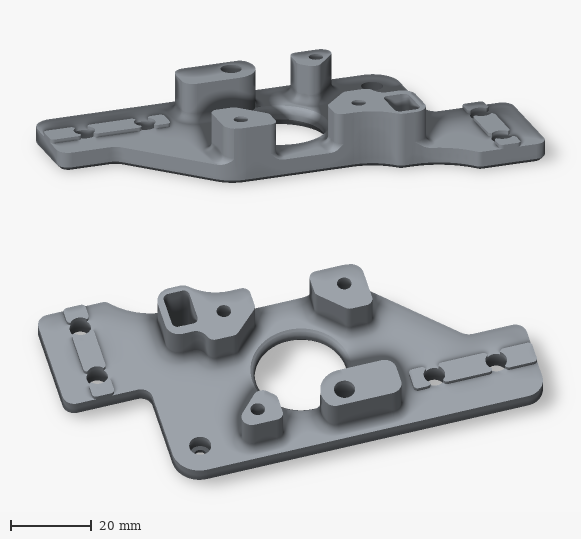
import cadquery as cq
import math


plate_thickness = 5.0
overall_height = 15.0
post_height = overall_height - plate_thickness
post_base_fillet = 2.0
ridge_height = 1.0
underside_chamfer = 1.0

plate_length = 116
plate_width = 56.0
left_edge = -23.0
bottom_edge = -57.0
right_edge = 21.0
foot_right_edge = -1.0
shoulder_edge = 37.6
arm_left_edge = 5.1
arm_right_edge = left_edge + plate_width
top_edge = bottom_edge + plate_length
slope_offset = 41.3

shoulder_radius = 7.0
foot_left_radius = 5.0
small_corner_radius = 3.0
foot_waist_radius = 4.0
body_corner_radius = 9.9
arm_lower_radius = 1.6

arm_lower_corner_y = 41.0
throat_edge = 25.9
throat_upper_y = 34.5
throat_upper_radius = 18.6
bulge_y = 22.7
bulge_radius = 3.0
throat_lower_y = bulge_y - (throat_edge - right_edge)
throat_lower_radius = 13.5
throat_corners = [
    (throat_edge, bulge_y, bulge_radius),
    (right_edge, throat_lower_y, throat_lower_radius),
]

bore_radius = 11.5
bore_mouth_radius = 12.5
bore_mouth_chamfer = 0.52
bore_lip_radius = 2.0
bore_foot_width = 1.2
bore_foot_height = 1.7

screw_offset = 15.49
screw_hole_diameter = 3.6
access_hole_diameter = 5.2
access_hole_y = -6.8

post_corner_radius = 2.0
post_left_edge = -19.8
post_outer_y = -21.0
inner_post_edge = 7.7
post_bevel_sum = 22.0
post_bevel_end = post_bevel_sum - inner_post_edge
corner_post_outer_radius = 3.6
long_post_end_radius = 6.0
long_post_shoulder_radius = 2.7
small_post_right_edge = -10.2
small_post_bottom = 9.7
small_post_bevel_x = -12.9
small_post_bevel_y = 12.4
small_post_right_top = 14.5
small_post_peak_y = 23.3
small_post_peak_radius = 2.5

window_left = 13.9
window_right = 24.2
window_bottom = 22.3
window_top = 28.9
window_corner_radius = 1.5
window_wall_left = 11.6
window_wall_top = 30.6
window_wall_left_radius = 3.5
window_wall_right_radius = 4.0
window_neck_low_y = 20.9
window_neck_high_y = 22.6
window_neck_radius = 3.0

bushing_diameter = 7.0
bushing_length = 2.0

counterbore_y = 30.3
counterbore_diameter = 5.5
counterbore_depth = 4.0
counterbore_pilot_diameter = 3.1

mount_hole_diameter = 5.3
ridge_gap = 3.2
ridge_corner_radius = 1.0
arm_ridge_width = 5.7
arm_ridge_y = 49.2
arm_hole_xs = (11.4, 26.8)
foot_ridge_width = 6.0
foot_ridge_x = -11.0
foot_ridge_end_y = -25.3
foot_hole_ys = (-47.1, -31.2)


def rounded_prism(corners, height, base=0):
    """Prism over a polygon whose corners are given as (x, y, rounding radius)."""
    arcs = []
    for i, (x, y, radius) in enumerate(corners):
        corner = cq.Vector(x, y)
        x_before, y_before, _ = corners[i - 1]
        x_after, y_after, _ = corners[(i + 1) % len(corners)]
        to_before = (cq.Vector(x_before, y_before) - corner).normalized()
        to_after = (cq.Vector(x_after, y_after) - corner).normalized()
        half_angle = to_before.getAngle(to_after) / 2
        tangent_length = radius / math.tan(half_angle)
        bisector = (to_before + to_after).normalized()
        start = corner + to_before * tangent_length
        middle = corner + bisector * (radius / math.sin(half_angle) - radius)
        end = corner + to_after * tangent_length
        arcs.append([(point.x, point.y) for point in (start, middle, end)])

    outline = cq.Workplane("XY", origin=(0, 0, base)).moveTo(*arcs[-1][2])
    for start, middle, end in arcs:
        outline = outline.lineTo(*start).threePointArc(middle, end)
    return outline.close().extrude(height)


def rounded_block(x_range, y_range, radius, height, base=0):
    x0, x1 = x_range
    y0, y1 = y_range
    corners = [(x0, y0, radius), (x1, y0, radius), (x1, y1, radius), (x0, y1, radius)]
    return rounded_prism(corners, height, base)


def cylinder(x, y, diameter, height=overall_height, base=0):
    return cq.Workplane("XY", origin=(x, y, base)).circle(diameter / 2).extrude(height)


def plate_envelope():
    """The plate outline carried up to the post tops, chamfered along the underside."""
    corners = [
        (left_edge, bottom_edge, foot_left_radius),
        (left_edge, shoulder_edge, shoulder_radius),
        (arm_left_edge, shoulder_edge, small_corner_radius),
        (arm_left_edge, top_edge, small_corner_radius),
        (arm_right_edge, top_edge, small_corner_radius),
        (arm_right_edge, arm_lower_corner_y, arm_lower_radius),
        (throat_edge, throat_upper_y, throat_upper_radius),
        *throat_corners,
        (right_edge, right_edge - slope_offset, body_corner_radius),
        (foot_right_edge, foot_right_edge - slope_offset, foot_waist_radius),
        (foot_right_edge, bottom_edge, small_corner_radius),
    ]
    return rounded_prism(corners, overall_height).faces("<Z").chamfer(underside_chamfer)


def window_post():
    corners = [
        (right_edge, inner_post_edge, post_corner_radius),
        (post_bevel_end, inner_post_edge, post_corner_radius),
        (inner_post_edge, post_bevel_end, post_corner_radius),
        (inner_post_edge, window_neck_low_y, post_corner_radius),
        (window_wall_left, window_neck_high_y, window_neck_radius),
        (window_wall_left, window_wall_top, window_wall_left_radius),
        (throat_edge, window_wall_top, window_wall_right_radius),
        *throat_corners,
    ]
    return rounded_prism(corners, post_height, plate_thickness)


def corner_post():
    corners = [
        (right_edge, -inner_post_edge, post_corner_radius),
        (post_bevel_end, -inner_post_edge, post_corner_radius),
        (inner_post_edge, -post_bevel_end, post_corner_radius),
        (inner_post_edge, post_outer_y, post_corner_radius),
        (right_edge, post_outer_y, corner_post_outer_radius),
    ]
    return rounded_prism(corners, post_height, plate_thickness)


def small_post():
    corners = [
        (post_left_edge, small_post_bottom, post_corner_radius),
        (small_post_bevel_x, small_post_bottom, post_corner_radius),
        (small_post_right_edge, small_post_bevel_y, post_corner_radius),
        (small_post_right_edge, small_post_right_top, post_corner_radius),
        (post_left_edge, small_post_peak_y, small_post_peak_radius),
    ]
    return rounded_prism(corners, post_height, plate_thickness)


def long_post():
    """Straight-sided post whose upper end is an arc about its hole."""
    right_side = long_post_end_radius - screw_offset
    left_reach = post_left_edge + screw_offset
    shoulder_y = access_hole_y + math.sqrt(long_post_end_radius**2 - left_reach**2)
    body = (
        cq.Workplane("XY", origin=(0, 0, plate_thickness))
        .moveTo(post_left_edge, post_outer_y)
        .lineTo(right_side, post_outer_y)
        .lineTo(right_side, access_hole_y)
        .threePointArc((-screw_offset, access_hole_y + long_post_end_radius), (post_left_edge, shoulder_y))
        .close()
        .extrude(post_height)
    )
    shoulder = (post_left_edge, shoulder_y, plate_thickness + post_height / 2)
    body = body.edges("|Z").edges("<Y").fillet(small_corner_radius)
    return body.edges(cq.selectors.NearestToPointSelector(shoulder)).fillet(long_post_shoulder_radius)


def posts_on_blank():
    """Oversized slab carrying the four posts, filleted all around their bases."""
    blank_size = 3 * plate_length
    blank = cq.Workplane("XY").box(blank_size, blank_size, plate_thickness, centered=(True, True, False))
    for post in (window_post(), corner_post(), small_post(), long_post()):
        blank = blank.union(post)
    slab_top = blank.faces("<Z[1]").val()
    base_edges = [edge for wire in slab_top.innerWires() for edge in wire.Edges()]
    return blank.newObject([blank.val().fillet(post_base_fillet, base_edges)])


def bore_cutter():
    """Bore with a flared foot, a rounded lip and a chamfered mouth, clear above the plate."""
    lip_outer_radius = bore_mouth_radius - bore_mouth_chamfer
    lip_top = plate_thickness - bore_mouth_chamfer
    lip_width = lip_outer_radius - bore_radius
    lip_angle = math.acos(1 - lip_width / bore_lip_radius)
    lip_bottom = lip_top - bore_lip_radius * math.sin(lip_angle)
    lip_middle = (
        bore_radius + bore_lip_radius * (1 - math.cos(lip_angle / 2)),
        lip_bottom + bore_lip_radius * math.sin(lip_angle / 2),
    )
    return (
        cq.Workplane("XZ")
        .lineTo(bore_radius + bore_foot_width, 0)
        .lineTo(bore_radius, bore_foot_height)
        .lineTo(bore_radius, lip_bottom)
        .threePointArc(lip_middle, (lip_outer_radius, lip_top))
        .lineTo(bore_mouth_radius, plate_thickness)
        .lineTo(bore_mouth_radius, overall_height)
        .lineTo(0, overall_height)
        .close()
        .revolve(360, (0, 0, 0), (0, 1, 0))
    )


def ridge_spans(start, end, holes):
    """The three lengths of a ridge left between its ends and the gaps at its holes."""
    first_hole, second_hole = holes
    half_gap = ridge_gap / 2
    return [
        (start, first_hole - half_gap),
        (first_hole + half_gap, second_hole - half_gap),
        (second_hole + half_gap, end),
    ]


def ridges():
    arm_band = (arm_ridge_y - arm_ridge_width / 2, arm_ridge_y + arm_ridge_width / 2)
    foot_band = (foot_ridge_x - foot_ridge_width / 2, foot_ridge_x + foot_ridge_width / 2)
    places = [(span, arm_band) for span in ridge_spans(arm_left_edge, arm_right_edge, arm_hole_xs)]
    places += [(foot_band, span) for span in ridge_spans(bottom_edge, foot_ridge_end_y, foot_hole_ys)]
    return [
        rounded_block(x_range, y_range, ridge_corner_radius, ridge_height, plate_thickness)
        for x_range, y_range in places
    ]


def mount_holes():
    holes = [cylinder(x, arm_ridge_y, mount_hole_diameter) for x in arm_hole_xs]
    holes += [cylinder(foot_ridge_x, y, mount_hole_diameter) for y in foot_hole_ys]
    return holes


def post_holes():
    return [
        cylinder(-screw_offset, screw_offset, screw_hole_diameter),
        cylinder(screw_offset, screw_offset, screw_hole_diameter),
        cylinder(screw_offset, -screw_offset, screw_hole_diameter),
        cylinder(-screw_offset, access_hole_y, access_hole_diameter),
    ]


def counterbored_hole():
    floor = plate_thickness - counterbore_depth
    pilot = cylinder(-screw_offset, counterbore_y, counterbore_pilot_diameter)
    return pilot.union(cylinder(-screw_offset, counterbore_y, counterbore_diameter, base=floor))


def window():
    x_range = (window_left, window_right)
    y_range = (window_bottom, window_top)
    return rounded_block(x_range, y_range, window_corner_radius, overall_height)


def bushing_blank():
    base = overall_height - bushing_length
    return cylinder(screw_offset, screw_offset, bushing_diameter, bushing_length, base)


def make_plate():
    plate = posts_on_blank().cut(bore_cutter()).union(long_post())
    plate = plate.intersect(plate_envelope())
    for ridge in ridges():
        plate = plate.union(ridge)
    for opening in mount_holes() + post_holes() + [counterbored_hole(), window(), bushing_blank()]:
        plate = plate.cut(opening)
    return plate


def make_bushing():
    return bushing_blank().cut(cylinder(screw_offset, screw_offset, screw_hole_diameter))


plate = make_plate()
bushing = make_bushing()
result = cq.Compound.makeCompound([plate.solids().val(), bushing.solids().val()])